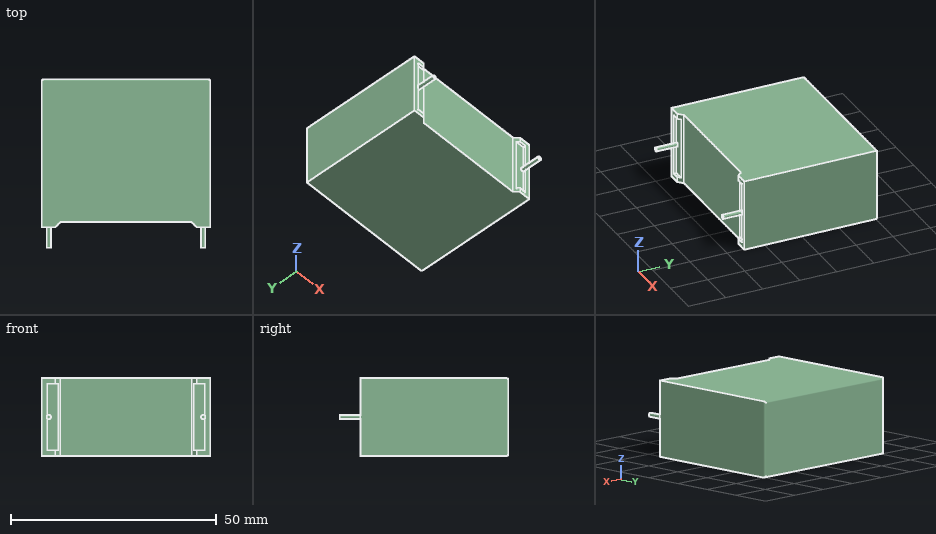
import cadquery as cq


case_width = 41.0
case_height = 19.0
case_depth = 36.0
overall_depth = 41.0
back_fillet = 0.5

foot_width = 3.32
foot_height = 1.25

pocket_outer_wall = 1.4
pocket_end_wall = 1.4
pocket_depth = 0.7
pocket_width = foot_width + foot_height - pocket_outer_wall
pocket_height = case_height - 2 * pocket_end_wall

lead_spacing = 37.5
lead_diameter = 1.05
lead_length = overall_depth - case_depth

SIDES = (-1, 1)


def lead_cylinder(side):
    """Round lead from its tip to the floor of the pocket."""
    return (
        cq.Workplane("XZ", origin=(side * lead_spacing / 2, pocket_depth, 0))
        .circle(lead_diameter / 2)
        .extrude(lead_length + pocket_depth)
    )


def foot_pocket(side):
    """Shallow rectangular cutter in the foot at one end of the case."""
    center_x = side * (case_width / 2 - pocket_outer_wall - pocket_width / 2)
    return cq.Workplane("XY").box(pocket_width, 2 * pocket_depth, pocket_height).translate((center_x, 0, 0))


def make_case():
    """Block with two feet, a pocket in each foot and a rounded rim at the back."""
    half_width = case_width / 2
    foot_edge = half_width - foot_width
    recess_edge = foot_edge - foot_height
    case = (
        cq.Workplane("XY", origin=(0, 0, -case_height / 2))
        .moveTo(-half_width, 0)
        .lineTo(-foot_edge, 0)
        .lineTo(-recess_edge, foot_height)
        .lineTo(recess_edge, foot_height)
        .lineTo(foot_edge, 0)
        .lineTo(half_width, 0)
        .lineTo(half_width, case_depth)
        .lineTo(-half_width, case_depth)
        .close()
        .extrude(case_height)
        .faces(">Y")
        .edges()
        .fillet(back_fillet)
    )
    for side in SIDES:
        case = case.cut(foot_pocket(side)).cut(lead_cylinder(side))
    return case.solids()


case = make_case()
leads = [lead_cylinder(side) for side in SIDES]

result = cq.Compound.makeCompound([case.val(), *[lead.val() for lead in leads]])